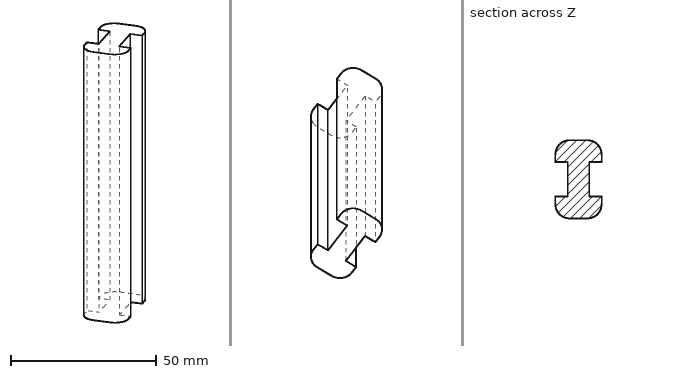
import cadquery as cq

width = 16.0
depth = 27.0
length = 100.0
corner_radius = 5.0

web_thickness = 7.4
groove_width = 11.8
groove_depth = (width - web_thickness) / 2


def rounded_bar():
    """Rectangular bar with its four long edges rounded."""
    bar = cq.Workplane("XY").rect(width, depth).extrude(length)
    return bar.edges("|Z").fillet(corner_radius)


def side_groove(side):
    """Cutter for the groove on the -X (side = -1) or +X (side = 1) face."""
    center_x = side * (width - groove_depth) / 2
    return cq.Workplane("XY").center(center_x, 0).rect(groove_depth, groove_width).extrude(length)


result = rounded_bar()
for side in (-1, 1):
    result = result.cut(side_groove(side))